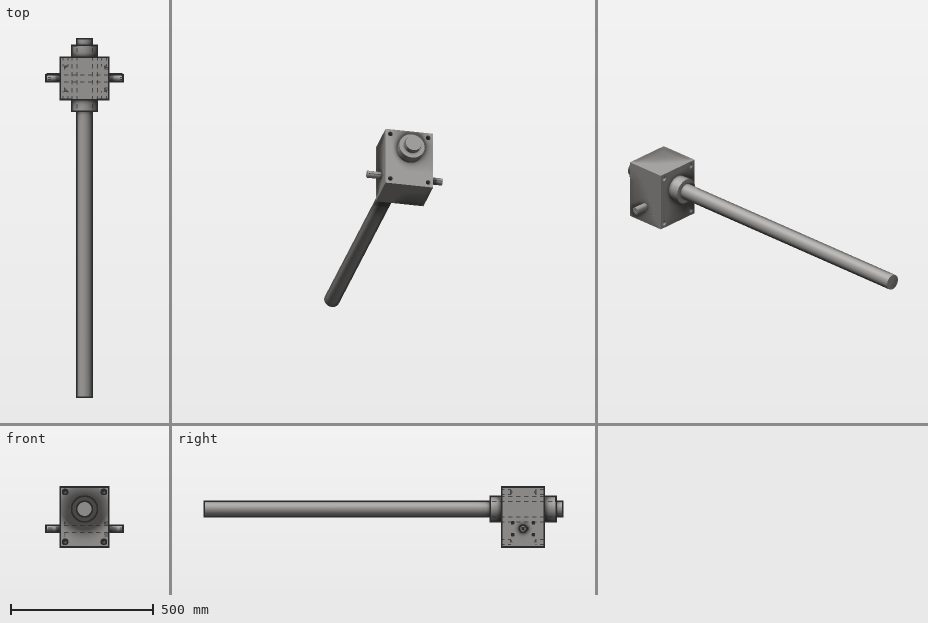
import cadquery as cq
import math


housing_width = 171.0
housing_depth = 149.0
housing_height = 211.0
spindle_to_top = 78.0
housing_center_z = spindle_to_top - housing_height / 2

mount_hole_diameter = 18.0
mount_hole_depth = 30.0
mount_pitch_x = 135.0
mount_pitch_z = 175.0
drill_point_angle = 118

flange_hole_diameter = 6.7
flange_hole_depth = 15.0
flange_pitch_y = 73.0
flange_pitch_z = 41.0

sleeve_diameter = 90.0
sleeve_length = 231.0

spindle_diameter = 55.0
spindle_length = 1255.0
spindle_back_overhang = 24.0
spindle_back_y = sleeve_length / 2 + spindle_back_overhang

shaft_diameter = 25.0
shaft_length = 270.0
shaft_z = -69.0
center_hole_diameter = 6.7
center_hole_depth = 15.0
key_width = 8.0
key_length = 43.0
key_projection = 4.0
key_end_gap = 4.0


def rod_along_y(diameter, length, back_y):
    """Cylinder on the spindle axis, running from back_y toward -Y."""
    return cq.Workplane("XZ", origin=(0, back_y, 0)).circle(diameter / 2).extrude(length)


def rod_along_x(diameter, length):
    """Cylinder on the drive shaft axis, centred on X = 0."""
    plane = cq.Workplane("YZ", origin=(-length / 2, 0, shaft_z))
    return plane.circle(diameter / 2).extrude(length)


def drilled_holes(mouth_plane, spots, diameter, depth):
    """Blind holes with a conical drill point, sunk against the normal of mouth_plane."""
    radius = diameter / 2
    point_depth = radius / math.tan(math.radians(drill_point_angle / 2))
    profile = (
        cq.Workplane("XZ")
        .polyline([(0, 0), (radius, 0), (radius, -depth), (0, -depth - point_depth)])
        .close()
    )
    hole = profile.revolve(360, (0, 0, 0), (0, 1, 0)).val()
    return mouth_plane.pushPoints(spots).eachpoint(lambda place: hole.moved(place), True)


def corner_spots(pitch_u, pitch_v):
    """Four points at the corners of a centred rectangle."""
    return [(u * pitch_u / 2, v * pitch_v / 2) for u in (-1, 1) for v in (-1, 1)]


def make_housing():
    body = (
        cq.Workplane("XY")
        .box(housing_width, housing_depth, housing_height)
        .translate((0, 0, housing_center_z))
    )
    body = body.cut(rod_along_y(sleeve_diameter, sleeve_length, sleeve_length / 2))
    body = body.cut(rod_along_x(shaft_diameter, shaft_length))
    for side in (-1, 1):
        mount_face = cq.Workplane(
            cq.Plane((0, side * housing_depth / 2, housing_center_z), (1, 0, 0), (0, side, 0))
        )
        mount_spots = corner_spots(mount_pitch_x, mount_pitch_z)
        body = body.cut(drilled_holes(mount_face, mount_spots, mount_hole_diameter, mount_hole_depth))

        flange_face = cq.Workplane(
            cq.Plane((side * housing_width / 2, 0, shaft_z), (0, 1, 0), (side, 0, 0))
        )
        flange_spots = corner_spots(flange_pitch_y, flange_pitch_z)
        body = body.cut(drilled_holes(flange_face, flange_spots, flange_hole_diameter, flange_hole_depth))
    return body


def make_sleeve():
    sleeve = rod_along_y(sleeve_diameter, sleeve_length, sleeve_length / 2)
    return sleeve.cut(make_spindle())


def make_spindle():
    return rod_along_y(spindle_diameter, spindle_length, spindle_back_y)


def make_drive_shaft():
    shaft = rod_along_x(shaft_diameter, shaft_length)
    key_reach = shaft_diameter / 2 + key_projection
    key_center_x = shaft_length / 2 - key_end_gap - key_length / 2
    for side in (-1, 1):
        key = cq.Workplane("XY").box(key_length, key_reach, key_width)
        shaft = shaft.union(key.translate((side * key_center_x, key_reach / 2, shaft_z)))

        end_face = cq.Workplane(cq.Plane((side * shaft_length / 2, 0, shaft_z), (0, 1, 0), (side, 0, 0)))
        shaft = shaft.cut(drilled_holes(end_face, [(0, 0)], center_hole_diameter, center_hole_depth))
    return shaft


housing = make_housing()
sleeve = make_sleeve()
spindle = make_spindle()
drive_shaft = make_drive_shaft()

result = cq.Compound.makeCompound([housing.val(), sleeve.val(), spindle.val(), drive_shaft.val()])